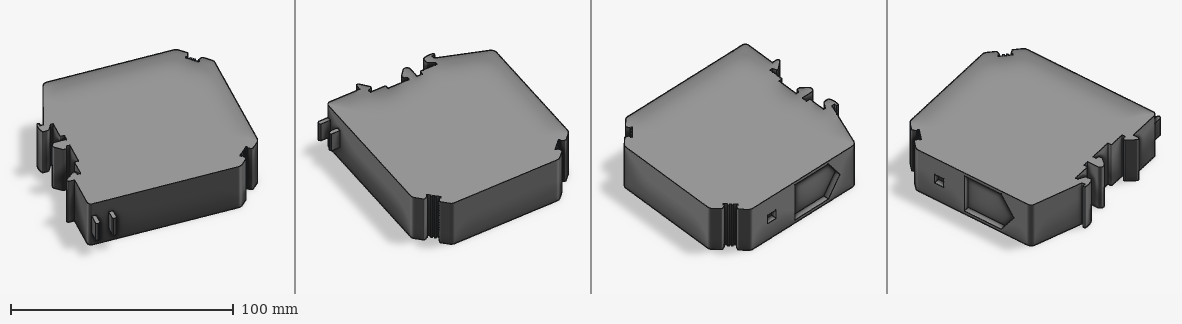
import cadquery as cq
import math

overall_length = 88.57
overall_height = 89.8
thickness = 25.0
housing_width = 82.8
foot_drop = 3.4
housing_top = overall_height - foot_drop
mid_plane = thickness / 2

top_chamfer = 13.2
base_slope = math.radians(20)
slope_start = 9.3

corner_radius = 3.0
base_corner_radius = 2.0
small_radius = 0.5

seat_level = 4.1
seat_left = 26.85
seat_right = 62.1
relief_level = 6.1
relief_left = 35.9
relief_right = 54.0

hook_neck = 25.9
hook_toe = 24.4
hook_right = 30.3
hook_toe_bottom = -2.8
hook_bottom = -3.1
hook_bottom_x = 26.5
hook_heel = -2.2
hook_toe_top = -1.7
hook_throat = 2.9
hook_shoulder = 0.8
hook_heel_radius = 0.4
hook_shoulder_radius = 1.5

catch_left = 38.7
catch_neck = 42.8
catch_right = 44.5
catch_top = 4.5
catch_right_top = 4.0
catch_nose_top = 2.3
catch_point = -4.5
catch_tip_radius = 1.85

latch_tip = 60.1
latch_right = 65.1
latch_throat = 2.6
latch_nose_top = 2.0
latch_slope = math.radians(50)
latch_tip_radius = 0.87

notch_depth = 3.35
mouth_half_width = 3.5
lip_half_width = 2.7
floor_half_width = 3.3
lip_start_depth = 2.1
lip_end_depth = 2.65
mouth_radius = 0.8
rib_width = 0.8
rib_height = 0.8
rib_spacing = 1.7

recess_depth = 3.0
window_size = 5.1
window_centre = 60.4
arrow_height = 21.4
arrow_back = 46.4
arrow_shoulder = 25.9
arrow_tip = 18.85

blade_thickness = 2.1
blade_width = 10.2
lower_blade_centre = 2.65
upper_blade_centre = 10.8
lower_blade_tip = overall_length
upper_blade_tip = 87.7
lower_blade_chamfer = 0.8
upper_blade_chamfer = 0.5
blade_root = 1.0


def round_corners(body, corners):
    """Fillet the thickness-wise edges that stand at the given (x, y, radius) corners."""
    for x, y, radius in corners:
        edge = cq.selectors.NearestToPointSelector((x, y, mid_plane))
        body = body.edges("|Z").edges(edge).fillet(radius)
    return body


def make_housing():
    slope_end = (hook_neck, slope_start - hook_neck * math.tan(base_slope))
    point_overshoot = latch_tip_radius * (1 / math.cos(latch_slope) + math.tan(latch_slope) - 1)
    latch_point = -foot_drop - point_overshoot
    latch_nose_bottom = latch_point + (latch_right - latch_tip) * math.tan(latch_slope)
    hook_outer_side = [
        (0, housing_top - top_chamfer),
        (0, slope_start),
        slope_end,
        (hook_neck, hook_toe_top),
        (hook_toe, hook_toe_top),
        (hook_toe, hook_toe_bottom),
    ]
    rail_side_and_top = [
        (hook_right, hook_shoulder),
        (seat_left, hook_throat),
        (seat_left, seat_level),
        (relief_left, seat_level),
        (relief_left, relief_level),
        (catch_left, relief_level),
        (catch_left, catch_point),
        (catch_right, catch_nose_top),
        (catch_right, catch_right_top),
        (catch_neck, catch_top),
        (catch_neck, relief_level),
        (relief_right, relief_level),
        (relief_right, seat_level),
        (seat_right, seat_level),
        (seat_right, latch_throat),
        (latch_tip, latch_nose_top),
        (latch_tip, latch_nose_bottom),
        (latch_right, latch_point),
        (latch_right, 0),
        (housing_width, 0),
        (housing_width, housing_top - top_chamfer),
        (housing_width - top_chamfer, housing_top),
        (top_chamfer, housing_top),
    ]
    corners = [
        (0, housing_top - top_chamfer, corner_radius),
        (top_chamfer, housing_top, corner_radius),
        (housing_width - top_chamfer, housing_top, corner_radius),
        (housing_width, housing_top - top_chamfer, corner_radius),
        (housing_width, 0, base_corner_radius),
        (0, slope_start, corner_radius),
        (*slope_end, small_radius),
        (hook_right, hook_heel, hook_heel_radius),
        (hook_right, hook_shoulder, hook_shoulder_radius),
        (relief_left, seat_level, small_radius),
        (relief_right, seat_level, small_radius),
        (catch_left, catch_point, catch_tip_radius),
        (catch_right, catch_nose_top, small_radius),
        (catch_right, catch_right_top, small_radius),
        (latch_right, latch_point, latch_tip_radius),
    ]
    housing = (
        cq.Workplane("XY")
        .polyline(hook_outer_side)
        .threePointArc((hook_bottom_x, hook_bottom), (hook_right, hook_heel))
        .polyline(rail_side_and_top, includeCurrent=True)
        .close()
        .extrude(thickness)
    )
    return round_corners(housing, corners)


def mirror_across_housing(body):
    return body.mirror("YZ", (housing_width / 2, 0, 0))


def cut_chamfer_notches(housing):
    """Cut an undercut, ribbed notch into both top chamfers."""
    middle = (top_chamfer / 2, housing_top - top_chamfer / 2, 0)
    chamfer_plane = cq.Plane(origin=middle, xDir=(1, 1, 0), normal=(0, 0, 1))
    half_profile = [
        (mouth_half_width, 0),
        (lip_half_width, -lip_start_depth),
        (lip_half_width, -lip_end_depth),
        (floor_half_width, -lip_end_depth),
        (floor_half_width, -notch_depth),
    ]
    other_half = [(-x, y) for x, y in reversed(half_profile)]
    notch = cq.Workplane(chamfer_plane).polyline(half_profile + other_half).close().extrude(thickness)
    ribs = (
        cq.Workplane(chamfer_plane)
        .pushPoints([(side * rib_spacing / 2, rib_height / 2 - notch_depth) for side in (-1, 1)])
        .rect(rib_width, rib_height)
        .extrude(thickness)
    )
    notch = notch.cut(ribs)
    housing = housing.cut(notch).cut(mirror_across_housing(notch))

    mouth_corners = []
    for side in (-1, 1):
        corner = chamfer_plane.toWorldCoords((side * mouth_half_width, 0))
        mouth_corners.append((corner.x, corner.y, mouth_radius))
        mouth_corners.append((housing_width - corner.x, corner.y, mouth_radius))
    return round_corners(housing, mouth_corners)


def cut_side_recesses(housing):
    """Cut the square window and the arrow-shaped label recess into the left side."""
    left_side = cq.Workplane("YZ")
    window = left_side.center(window_centre, mid_plane).rect(window_size, window_size).extrude(recess_depth)
    arrow_bottom = mid_plane - arrow_height / 2
    arrow_top = mid_plane + arrow_height / 2
    arrow_outline = [
        (arrow_back, arrow_bottom),
        (arrow_shoulder, arrow_bottom),
        (arrow_tip, mid_plane),
        (arrow_shoulder, arrow_top),
        (arrow_back, arrow_top),
    ]
    arrow = left_side.polyline(arrow_outline).close().extrude(recess_depth)
    return housing.cut(window).cut(arrow)


def make_blade(centre, tip, tip_chamfer):
    """Contact blade that reaches out of the right side, with a chamfered tip."""
    start = housing_width - blade_root
    length = tip - start
    blade = cq.Workplane("XY").box(length, blade_thickness, blade_width)
    blade = blade.faces(">X").edges("|Z").chamfer(tip_chamfer)
    return blade.translate((start + length / 2, centre, mid_plane))


result = cut_side_recesses(cut_chamfer_notches(make_housing()))
result = result.union(make_blade(lower_blade_centre, lower_blade_tip, lower_blade_chamfer))
result = result.union(make_blade(upper_blade_centre, upper_blade_tip, upper_blade_chamfer))